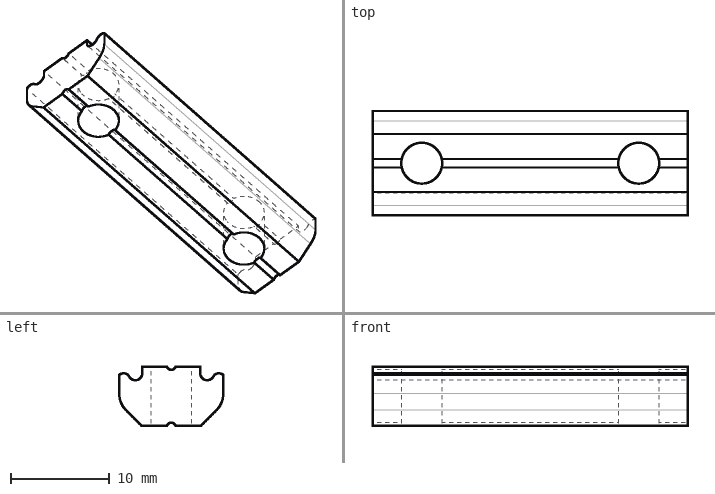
import cadquery as cq
import math

length = 32.0
width = 10.6
height = 6.0

strip_width = 5.9
lip_drop = 0.67
lip_radius = 0.65
groove_radius = 0.7

base_width = 6.0
flank_radius = 2.4
flank_angle = math.radians(45)

mark_width = 0.85
mark_depth = 0.32

hole_diameter = 4.13
hole_spacing = 22.0

half_width = width / 2
half_strip = strip_width / 2
half_base = base_width / 2
top = height / 2
bottom = -top


def make_half_body():
    """Extrude the +Y half of the cross-section along X."""
    flank_corner_z = bottom + (half_width - half_base) * math.tan(flank_angle)
    side_start_z = flank_corner_z + flank_radius * math.tan(flank_angle / 2)
    blend_start = (
        half_width - flank_radius * (1 - math.cos(flank_angle)),
        side_start_z - flank_radius * math.sin(flank_angle),
    )
    blend_middle = (
        half_width - flank_radius * (1 - math.cos(flank_angle / 2)),
        side_start_z - flank_radius * math.sin(flank_angle / 2),
    )

    lip_crest_z = top - lip_drop
    groove_y = half_strip + groove_radius
    groove_z = lip_crest_z

    radius_sum = lip_radius + groove_radius
    centre_offset_z = lip_radius
    centre_offset_y = math.sqrt(radius_sum**2 - centre_offset_z**2)
    lip_crest_y = groove_y + centre_offset_y
    lip_centre_z = lip_crest_z - lip_radius
    lip_end_z = lip_centre_z + math.sqrt(lip_radius**2 - (half_width - lip_crest_y) ** 2)
    groove_share = groove_radius / radius_sum
    junction = (
        groove_y + groove_share * centre_offset_y,
        groove_z - groove_share * centre_offset_z,
    )

    return (
        cq.Workplane("YZ")
        .moveTo(0, bottom)
        .lineTo(half_base, bottom)
        .lineTo(*blend_start)
        .threePointArc(blend_middle, (half_width, side_start_z))
        .lineTo(half_width, lip_end_z)
        .threePointArc((lip_crest_y, lip_crest_z), junction)
        .threePointArc((groove_y, groove_z - groove_radius), (half_strip, groove_z))
        .lineTo(half_strip, top)
        .lineTo(0, top)
        .close()
        .extrude(length / 2, both=True)
    )


def make_centre_marks():
    """Return the two rods that cut the marks in the top and bottom faces."""
    mark_radius = ((mark_width / 2) ** 2 + mark_depth**2) / (2 * mark_depth)
    mark_z = top - mark_depth + mark_radius
    return (
        cq.Workplane("YZ")
        .pushPoints([(0, mark_z), (0, -mark_z)])
        .circle(mark_radius)
        .extrude(length / 2, both=True)
    )


def make_holes():
    """Return the two vertical cylinders that cut the through holes."""
    return (
        cq.Workplane("XY")
        .pushPoints([(-hole_spacing / 2, 0), (hole_spacing / 2, 0)])
        .circle(hole_diameter / 2)
        .extrude(height, both=True)
    )


half_body = make_half_body()
body = half_body.union(half_body.mirror("XZ")).clean()
result = body.cut(make_centre_marks()).cut(make_holes())